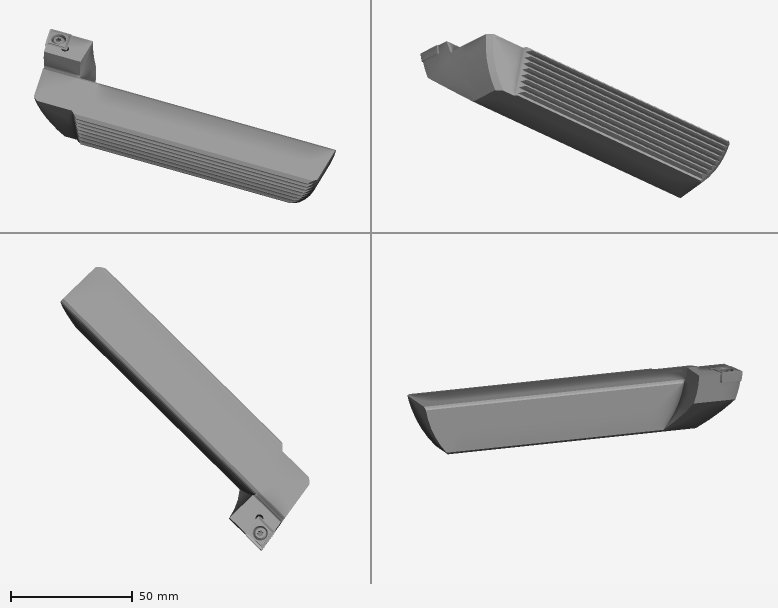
import cadquery as cq
import math


total_length = 134.6
total_width = 39.4
shank_height = 21.3
head_rise = 6.0
end_radius = 40.0
lead_angle = 10.0
clearance_angle = 7.0

shank_back_y = 23.4
under_slope_y = 22.3
back_step_depth = 0.5
back_step_y = 22.9
back_slope_y = 21.7

front_slope = 15.0
tooth_count = 8
tooth_pitch = 2.7
tooth_depth = 1.9
crest_flat = 0.4
root_flat = 0.3
first_crest_z = -1.2
step_y = 2.7
step_start_x = 24.8
nose_chamfer = 1.9
end_chamfer = 3.0

head_front_y = 25.5
head_front_slope = 15.0
head_foot_radius = 1.0
head_back_y = 39.0
head_length_x = 19.2
head_wall_bottom_z = -6.0
nose_setback = 0.4

insert_height_y = 9.5
insert_thickness = 4.0
insert_corner_radius = 0.4
corner_angle = 90.0 - lead_angle
breaker_land = 0.1
breaker_width = 0.8
breaker_depth = 0.3
plateau_inset = 1.2
relief_radius = 1.6
relief_inset_x = 1.0
relief_inset_y = 0.5
screw_radius = 1.7
screw_head_radius = 2.7
screw_sink = 0.4
screw_cone_height = 1.3
screw_top_radius = 2.0
screw_rim_drop = 0.7
countersink_radius = 3.1
screw_length = 8.7
star_radius = 1.5
star_inner_radius = 1.0
star_depth = 1.2
star_points = 6

lead_tan = math.tan(math.radians(lead_angle))
slope_tan = math.tan(math.radians(front_slope))
slope_cos = math.cos(math.radians(front_slope))
shank_bottom_z = -shank_height
flank_run = (tooth_pitch - crest_flat - root_flat) / 2
insert_floor_z = head_rise - insert_thickness
insert_side = insert_height_y / math.cos(math.radians(lead_angle))
tip_x = insert_corner_radius * (1 - 1 / math.tan(math.radians(corner_angle / 2)))
insert_center_x = tip_x + (insert_side + insert_height_y * lead_tan) / 2
insert_center_y = total_width - insert_height_y / 2
margin = 13.5


def arc_offset(z):
    """Horizontal run of a large arc between the head top and height z."""
    return end_radius - math.sqrt(end_radius**2 - (head_rise - z) ** 2)


def crest_y(z):
    """Y of the plane that touches all serration crests."""
    return (first_crest_z - z) * slope_tan


def extrude_along(outline, direction):
    """Sweep a closed wire straight along a vector that may be oblique to it."""
    return cq.Workplane(obj=cq.Solid.extrudeLinear(outline.val(), [], cq.Vector(*direction)))


def yz_prism(points, length):
    """Section in the YZ plane, extruded along +X from X = 0."""
    return cq.Workplane("YZ").polyline(points).close().extrude(length)


def shank_blank():
    under_slope_z = shank_bottom_z + shank_back_y - under_slope_y
    back_top_z = -back_step_depth - (shank_back_y - back_step_y)
    return yz_prism(
        [
            (crest_y(0), 0),
            (back_slope_y, 0),
            (back_step_y, -back_step_depth),
            (shank_back_y, back_top_z),
            (shank_back_y, under_slope_z),
            (under_slope_y, shank_bottom_z),
            (crest_y(shank_bottom_z), shank_bottom_z),
        ],
        total_length,
    )


def head_blank():
    wall_bottom_y = under_slope_y + head_wall_bottom_z - shank_bottom_z
    foot_y = head_front_y - (head_rise + back_step_depth) * math.tan(math.radians(head_front_slope))
    arc_center_x = head_length_x + end_radius
    block = yz_prism(
        [
            (head_front_y, head_rise),
            (head_back_y, head_rise),
            (wall_bottom_y, head_wall_bottom_z),
            (under_slope_y, shank_bottom_z),
            (under_slope_y, -back_step_depth),
            (foot_y, -back_step_depth),
        ],
        arc_center_x,
    )
    foot = cq.selectors.NearestToPointSelector((arc_center_x / 2, foot_y, -back_step_depth))
    block = block.edges(foot).fillet(head_foot_radius)
    hollow = (
        cq.Workplane("XZ", origin=(arc_center_x, total_width + margin, head_rise))
        .circle(end_radius)
        .extrude(total_width + 2 * margin)
    )
    return block.cut(hollow)


def nose_envelope():
    """Everything behind the rounded nose face, which slants back towards -Y."""
    apex_x = nose_setback
    middle_z = (head_rise + shank_bottom_z) / 2
    outline = (
        cq.Workplane("XZ", origin=(0, total_width, 0))
        .moveTo(apex_x, head_rise)
        .threePointArc(
            (apex_x + arc_offset(middle_z), middle_z),
            (apex_x + arc_offset(shank_bottom_z), shank_bottom_z),
        )
        .lineTo(total_length + margin, shank_bottom_z)
        .lineTo(total_length + margin, head_rise)
        .close()
    )
    depth = total_width + margin
    return extrude_along(outline, (depth * lead_tan, -depth, 0))


def end_envelope():
    """Everything ahead of the rounded free end of the shank."""
    apex_x = total_length + arc_offset(0)
    middle_z = (head_rise + shank_bottom_z) / 2
    return (
        cq.Workplane("XZ", origin=(0, total_width + margin, 0))
        .moveTo(apex_x, head_rise)
        .threePointArc(
            (apex_x - arc_offset(middle_z), middle_z),
            (apex_x - arc_offset(shank_bottom_z), shank_bottom_z),
        )
        .lineTo(-margin, shank_bottom_z)
        .lineTo(-margin, head_rise)
        .close()
        .extrude(total_width + 2 * margin)
    )


def front_step():
    """Waste in front of the plain face, with a 45 degree wall up to the teeth."""
    start_z = head_rise
    outline = (
        cq.Workplane("XY", origin=(0, -start_z * slope_tan, start_z))
        .moveTo(-margin, step_y)
        .lineTo(step_start_x, step_y)
        .lineTo(step_start_x + step_y + margin, -margin)
        .lineTo(-margin, -margin)
        .close()
    )
    drop = start_z + shank_height + margin
    return extrude_along(outline, (0, drop * slope_tan, -drop))


def tooth_gap(index):
    """Flat-bottomed V groove below one crest; the last one runs out through the bottom."""
    slope_sin = math.sin(math.radians(front_slope))

    def point(along, depth):
        y = along * slope_sin + depth * slope_cos
        z = first_crest_z - along * slope_cos + depth * slope_sin
        return y, z

    crest = index * tooth_pitch + crest_flat
    next_crest = (index + 1) * tooth_pitch
    root_start = crest + flank_run
    root_end = root_start + root_flat
    if index == tooth_count - 1:
        end = [point(root_end + margin, tooth_depth), point(root_end + margin, 0)]
    else:
        end = [point(root_end, tooth_depth), point(next_crest, 0)]
    return yz_prism([point(crest, 0), point(root_start, tooth_depth), *end], total_length + margin)


def top_flank():
    """Waste above the upper flank of the first tooth."""
    flank_angle = math.radians(front_slope) + math.atan2(flank_run, tooth_depth)
    top_y = -first_crest_z / math.tan(flank_angle)
    outline = [(0, first_crest_z), (top_y, 0), (-margin, 0), (-margin, first_crest_z)]
    return yz_prism(outline, total_length + margin)


def rhombus(z):
    """Sharp-cornered insert outline."""
    shift = insert_height_y * lead_tan
    near_y = total_width - insert_height_y
    return (
        cq.Workplane("XY", origin=(0, 0, z))
        .moveTo(tip_x, total_width)
        .lineTo(tip_x + insert_side, total_width)
        .lineTo(tip_x + insert_side + shift, near_y)
        .lineTo(tip_x + shift, near_y)
        .close()
    )


def insert_pocket():
    relief_x = tip_x + insert_side + insert_height_y * lead_tan - relief_inset_x
    relief_y = total_width - insert_height_y + relief_inset_y
    relief = (
        cq.Workplane("XY", origin=(relief_x, relief_y, insert_floor_z))
        .circle(relief_radius)
        .extrude(insert_thickness)
    )
    return rhombus(insert_floor_z).extrude(insert_thickness).union(relief)


def make_holder():
    holder = shank_blank().union(head_blank())
    holder = holder.intersect(nose_envelope()).intersect(end_envelope())

    middle_z = shank_bottom_z / 2
    end_edge = (total_length - arc_offset(middle_z), crest_y(middle_z), middle_z)
    holder = holder.edges(cq.selectors.NearestToPointSelector(end_edge)).chamfer(end_chamfer)

    holder = holder.cut(front_step())
    plain_y = step_y - middle_z * slope_tan
    nose_x = nose_setback + arc_offset(middle_z) + (total_width - plain_y) * lead_tan
    nose_edge = (nose_x, plain_y, middle_z)
    holder = holder.edges(cq.selectors.NearestToPointSelector(nose_edge)).chamfer(nose_chamfer)

    holder = holder.cut(top_flank())
    for index in range(tooth_count):
        holder = holder.cut(tooth_gap(index))
    return holder.cut(insert_pocket()).cut(screw_blank())


def insert_prism(inset, height, taper):
    """Rounded insert outline moved inwards, extruded down from the insert top and narrowing by taper."""
    corner_centers = rhombus(head_rise).val().offset2D(-insert_corner_radius, "intersection")[0]
    corner_kind = "arc" if inset < insert_corner_radius else "intersection"
    outline = corner_centers.offset2D(insert_corner_radius - inset, corner_kind)[0]
    return cq.Workplane(obj=cq.Solid.extrudeLinear(outline, [], cq.Vector(0, 0, -height), taper))


def chip_breaker():
    """Ring groove that slopes down from the rim to a floor around the raised centre."""
    slope = math.degrees(math.atan2(breaker_width, breaker_depth))
    bowl = insert_prism(breaker_land, breaker_depth, slope)
    plateau = insert_prism(plateau_inset, breaker_depth, 0)
    return bowl.cut(plateau)


def make_insert():
    blank = insert_prism(0, insert_thickness, clearance_angle)
    countersink = (
        cq.Workplane("XY", origin=(insert_center_x, insert_center_y, head_rise))
        .circle(countersink_radius)
        .workplane(offset=-screw_sink - screw_rim_drop)
        .circle(screw_head_radius)
        .loft()
    )
    return blank.cut(chip_breaker()).cut(countersink).cut(screw_blank())


def screw_blank():
    """Countersunk screw without its drive recess."""
    top_z = head_rise - screw_sink
    rim_z = top_z - screw_rim_drop
    return (
        cq.Workplane("XZ", origin=(insert_center_x, insert_center_y, 0))
        .moveTo(0, top_z)
        .lineTo(screw_top_radius, top_z)
        .lineTo(screw_head_radius, rim_z)
        .lineTo(screw_radius, rim_z - screw_cone_height)
        .lineTo(screw_radius, head_rise - screw_length)
        .lineTo(0, head_rise - screw_length)
        .close()
        .revolve(360, (0, 0), (0, 1))
    )


def make_screw():
    points = []
    for index in range(2 * star_points):
        radius = star_inner_radius if index % 2 else star_radius
        angle = math.pi * index / star_points
        points.append((radius * math.cos(angle), radius * math.sin(angle)))
    star = (
        cq.Workplane("XY", origin=(insert_center_x, insert_center_y, head_rise - screw_sink))
        .polyline(points)
        .close()
        .extrude(-star_depth)
    )
    return screw_blank().cut(star)


holder = make_holder()
insert = make_insert()
screw = make_screw()

result = cq.Compound.makeCompound([body.solids().val() for body in (holder, insert, screw)])